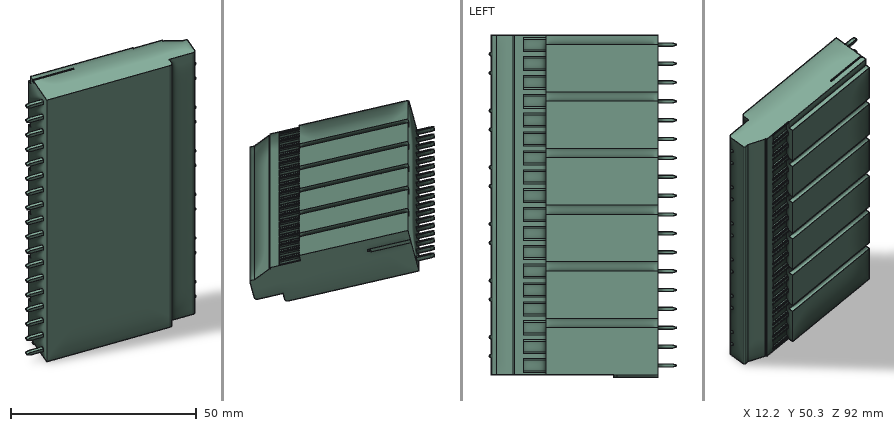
import cadquery as cq

TOTAL_HEIGHT = 92.0
BODY_WIDTH = 12.2
RIB_HEIGHT = 0.6
BODY_HEIGHT = TOTAL_HEIGHT - RIB_HEIGHT

POLE_COUNT = 18
POLES_PER_SLOT = 3
PITCH = BODY_HEIGHT / POLE_COUNT

FRONT_Y = 4.9
STEP_Y = 35.1
LEDGE_Y = 43.5
SLOPE_START_Y = 43.9
SLOPE_END_Y = 48.4
TOTAL_LENGTH = 50.3
BACK_Y = 49.8
BACK_LEFT_RADIUS = 0.4
BACK_RIGHT_RADIUS = 0.8
SHOULDER_Y = 42.0
UPPER_FACE_X = 1.6
SLOPE_START_X = 1.9
BACK_LEFT_X = 4.0
BACK_RIGHT_X = 9.8

SLOT_DEPTH = 1.3
SLOT_HEIGHT = 2.5

WINDOW_BACK_Y = 41.05
WINDOW_HEIGHT = 3.8
WINDOW_DEPTH = 0.3
WINDOW_FLOOR_HEIGHT = 2.85
WINDOW_FLOOR_DEPTH = 0.7

PIN_X = 9.7
PIN_WIDTH = 1.0
PIN_HEIGHT = 0.9
PIN_TIP_LENGTH = 1.0
PIN_TIP_HEIGHT = 0.3

NUB_X = 8.5
NUB_RADIUS = 0.5

DOVETAIL_X = 2.9
DOVETAIL_NECK = 0.4
DOVETAIL_WIDTH = 0.9
DOVETAIL_LENGTH = 12.0
DOVETAIL_END_LENGTH = 0.9


def pole_z(index):
    """Height of the centre of a pole, counted from the top."""
    return TOTAL_HEIGHT - (index + 0.5) * PITCH


def box(x_range, y_range, z_range):
    """Axis-aligned box between two limits on each axis."""
    size = [high - low for low, high in (x_range, y_range, z_range)]
    corner = (x_range[0], y_range[0], z_range[0])
    return cq.Workplane("XY").box(*size, centered=False).translate(corner)


def make_housing():
    outline = [
        (0, FRONT_Y),
        (BODY_WIDTH, FRONT_Y),
        (BODY_WIDTH, SHOULDER_Y),
        (BACK_RIGHT_X, SHOULDER_Y),
        (BACK_RIGHT_X, BACK_Y),
        (BACK_LEFT_X, BACK_Y),
        (BACK_LEFT_X, SLOPE_END_Y),
        (SLOPE_START_X, SLOPE_START_Y),
        (SLOPE_START_X, LEDGE_Y),
        (UPPER_FACE_X, LEDGE_Y),
        (UPPER_FACE_X, STEP_Y),
        (0, STEP_Y),
    ]
    housing = cq.Workplane("XY", origin=(0, 0, RIB_HEIGHT)).polyline(outline).close().extrude(BODY_HEIGHT)
    for x, y, radius in (
        (BODY_WIDTH, SHOULDER_Y, BACK_RIGHT_RADIUS),
        (BACK_RIGHT_X, BACK_Y, BACK_RIGHT_RADIUS),
        (BACK_LEFT_X, BACK_Y, BACK_LEFT_RADIUS),
    ):
        corner = cq.selectors.NearestToPointSelector((x, y, RIB_HEIGHT + BODY_HEIGHT / 2))
        housing = housing.edges("|Z").edges(corner).fillet(radius)
    return housing


def cut_coding_slots(body):
    for index in range(0, POLE_COUNT, POLES_PER_SLOT):
        top = TOTAL_HEIGHT - index * PITCH
        body = body.cut(box((0, SLOT_DEPTH), (FRONT_Y, STEP_Y), (top - SLOT_HEIGHT, top)))
    return body


def cut_window(body, z):
    for height, depth in ((WINDOW_HEIGHT, WINDOW_DEPTH), (WINDOW_FLOOR_HEIGHT, WINDOW_FLOOR_DEPTH)):
        x_range = (UPPER_FACE_X, UPPER_FACE_X + depth)
        body = body.cut(box(x_range, (STEP_Y, WINDOW_BACK_Y), (z - height / 2, z + height / 2)))
    return body


def make_pin(z):
    """Rectangular pin whose tip narrows in Z only."""
    half = PIN_HEIGHT / 2
    half_tip = PIN_TIP_HEIGHT / 2
    side = [
        (FRONT_Y, z - half),
        (PIN_TIP_LENGTH, z - half),
        (0, z - half_tip),
        (0, z + half_tip),
        (PIN_TIP_LENGTH, z + half),
        (FRONT_Y, z + half),
    ]
    return cq.Workplane("YZ").workplane(offset=PIN_X - PIN_WIDTH / 2).polyline(side).close().extrude(PIN_WIDTH)


def make_nub(z):
    """Small dome standing on the back face."""
    return cq.Workplane("XY").sphere(NUB_RADIUS).translate((NUB_X, TOTAL_LENGTH - NUB_RADIUS, z))


def make_dovetail(neck_z):
    """Dovetail bar, widest at the bottom, hanging from the given height, with a straight thin back end."""
    base_z = neck_z - RIB_HEIGHT
    half_neck = DOVETAIL_NECK / 2
    half_base = DOVETAIL_WIDTH / 2
    section = [
        (DOVETAIL_X - half_neck, neck_z),
        (DOVETAIL_X + half_neck, neck_z),
        (DOVETAIL_X + half_base, base_z),
        (DOVETAIL_X - half_base, base_z),
    ]
    end_y = FRONT_Y + DOVETAIL_LENGTH
    bar = cq.Workplane("XZ", origin=(0, FRONT_Y, 0)).polyline(section).close()
    bar = bar.extrude(-(DOVETAIL_LENGTH - DOVETAIL_END_LENGTH))
    end = box(
        (DOVETAIL_X - half_neck, DOVETAIL_X + half_neck),
        (end_y - DOVETAIL_END_LENGTH, end_y),
        (base_z, neck_z),
    )
    return bar.union(end)


result = cut_coding_slots(make_housing())
for pole in range(POLE_COUNT):
    result = cut_window(result, pole_z(pole))
    result = result.union(make_pin(pole_z(pole)))
for boundary in range(1, POLE_COUNT):
    if boundary % POLES_PER_SLOT:
        result = result.union(make_nub(TOTAL_HEIGHT - boundary * PITCH))
result = result.cut(make_dovetail(TOTAL_HEIGHT))
result = result.union(make_dovetail(RIB_HEIGHT))